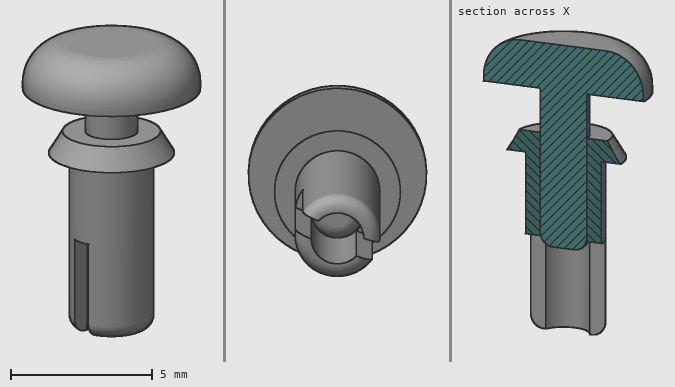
import cadquery as cq

total_height = 10.6

head_diameter = 6.3
head_height = 1.7
head_round = 1.49
pin_diameter = 1.84
pin_tip_z = 3.14
pin_tip_round = 0.5

sleeve_diameter = 3.0
sleeve_tip_round = 0.5
collar_top_diameter = 3.47
collar_bottom_diameter = 4.45
collar_bottom_z = 6.5
collar_height = 0.81
bore_diameter = 1.85
slot_width = 0.7
slot_height = 3.5

head_bottom_z = total_height - head_height
collar_top_z = collar_bottom_z + collar_height


def cylinder(diameter, bottom_z, top_z):
    """Solid cylinder on the Z axis between two heights."""
    return cq.Workplane("XY", origin=(0, 0, bottom_z)).circle(diameter / 2).extrude(top_z - bottom_z)


def make_plunger():
    """Domed head and its round-tipped pin."""
    head = cylinder(head_diameter, head_bottom_z, total_height).faces(">Z").edges().fillet(head_round)
    pin = cylinder(pin_diameter, pin_tip_z, head_bottom_z).faces("<Z").edges().fillet(pin_tip_round)
    return head.union(pin)


def make_collar():
    """Conical collar, wider at its lower face."""
    return (
        cq.Workplane("XZ")
        .moveTo(0, collar_bottom_z)
        .lineTo(collar_bottom_diameter / 2, collar_bottom_z)
        .lineTo(collar_top_diameter / 2, collar_top_z)
        .lineTo(0, collar_top_z)
        .close()
        .revolve(360, (0, 0, 0), (0, 1, 0))
    )


def make_grommet():
    """Collared sleeve, bored for the pin and split at its lower end."""
    sleeve = cylinder(sleeve_diameter, 0, collar_top_z).faces("<Z").edges().fillet(sleeve_tip_round)
    bore = cylinder(bore_diameter, 0, collar_top_z)
    slot = cq.Workplane("XY").rect(slot_width, collar_bottom_diameter).extrude(slot_height)
    return sleeve.union(make_collar()).cut(bore).cut(slot)


plunger = make_plunger()
grommet = make_grommet()

result = cq.Compound.makeCompound([plunger.val(), grommet.val()])